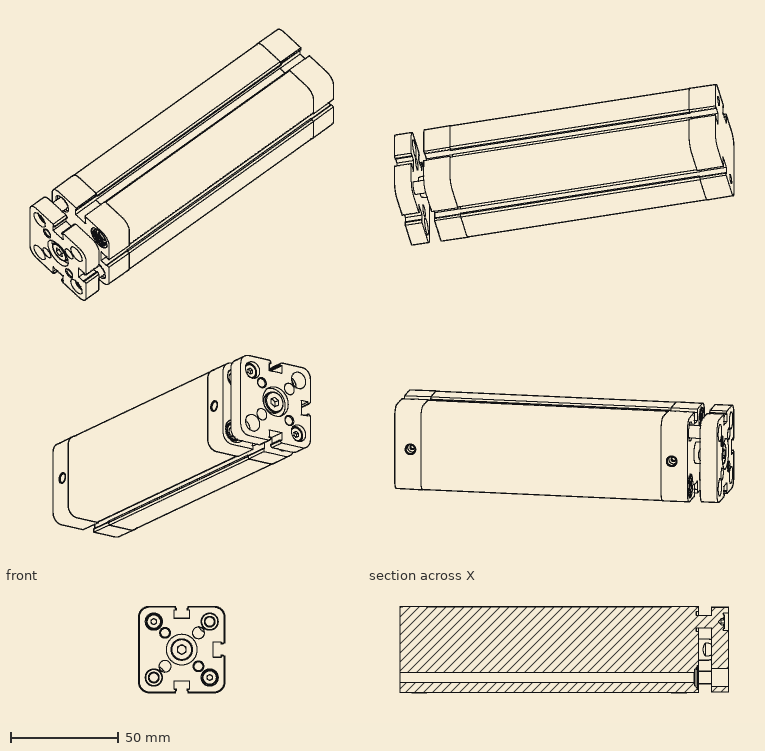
import cadquery as cq
import math

cap_width = 40.3
cap_end_width = 40.06
body_width = 40.0
plate_width = 39.5
flat_width = 30.0
total_length = 153.0
plate_thickness = 8.0
plate_gap = 6.0
cap_length = 12.5

plate_back_y = plate_thickness
front_cap_y = plate_back_y + plate_gap
front_body_y = front_cap_y + cap_length
rear_body_y = total_length - cap_length
cap_corner_radius = (cap_width - flat_width) / 2
cap_draft_angle = math.degrees(math.atan((cap_width - cap_end_width) / 2 / cap_length))
body_corner_radius = (body_width - flat_width) / 2
plate_corner_radius = (plate_width - flat_width) / 2

slot_angles = (0, 90, 180)
slot_depth = 5.5
cap_slot_depth = 5.7
slot_width = 7.0
slot_mouth_width = 5.0
slot_mouth_chamfer = 0.9
slot_lip_thickness = 1.8
cap_slot_width = 6.0
slot_floor_z = cap_width / 2 - slot_depth
cap_slot_floor_z = cap_width / 2 - cap_slot_depth
slot_lip_z = cap_width / 2 - slot_lip_thickness

corner_offset = 13.0
guide_rod_corners = ((-corner_offset, corner_offset), (corner_offset, -corner_offset))
through_corners = ((corner_offset, corner_offset), (-corner_offset, -corner_offset))
guide_rod_diameter = 6.0
plate_corner_hole_diameter = 8.0
guide_recess_depth = 2.5
guide_head_diameter = 7.0
guide_head_y = 2.0
guide_head_chamfer = 0.4
guide_socket = 2.5
guide_socket_depth = 1.5

tie_bore_steps = ((11.1, 0.6), (9.0, 1.2), (7.5, 1.8))
tie_countersink_diameter = 5.0
tie_hole_diameter = 4.3

bushing_recess_diameter = 9.0
bushing_recess_depth = 1.0

bolt_circle_radius = 11.0
thread_mouth_diameter = 5.0
thread_hole_diameter = 4.13
dowel_hole_diameter = 5.5
bolt_offset = bolt_circle_radius / math.sqrt(2)
threaded_holes = ((-bolt_offset, bolt_offset), (bolt_offset, -bolt_offset))
dowel_holes = ((bolt_offset, bolt_offset), (-bolt_offset, -bolt_offset))

rod_diameter = 10.0
rod_flats = 8.0
rod_flat_length = 2.9
rod_tip_length = 1.4
rod_tip_diameter = 9.4
center_recess_diameter = 14.3
center_recess_depth = 2.5
center_head_diameter = 10.0
center_head_y = 0.7
center_head_chamfer = 0.4
center_socket = 4.0
center_socket_depth = 2.5

port_offset = 7.5
port_diameter = 5.0
port_thread_diameter = 4.13
port_counterbore_depth = 0.5
port_thread_depth = 4.0
port_passage_diameter = 2.0
port_depth = 6.0


def facing_front(y, center=(0, 0)):
    """Sketch plane at the given Y, with X and Z as its axes; positive extrusion runs toward -Y."""
    return cq.Workplane(cq.Plane((center[0], y, center[1]), (1, 0, 0), (0, -1, 0)))


def block(width, corner_radius, y_start, y_end):
    """Square bar along Y with rounded long edges."""
    bar = cq.Workplane("XY").box(width, y_end - y_start, width)
    return bar.edges("|Y").fillet(corner_radius).translate((0, (y_start + y_end) / 2, 0))


def rod(diameter, y_start, y_end, center=(0, 0)):
    """Round bar along Y at the given (X, Z) center."""
    return facing_front(y_start, center).circle(diameter / 2).extrude(y_start - y_end)


def cone(start_diameter, end_diameter, y_start, y_end, center=(0, 0)):
    """Cone frustum along Y at the given (X, Z) center."""
    length = y_end - y_start
    axis_point = cq.Vector(center[0], y_start, center[1])
    axis = cq.Vector(0, 1, 0)
    return cq.Workplane(cq.Solid.makeCone(start_diameter / 2, end_diameter / 2, length, axis_point, axis))


def hex_socket(across_flats, depth, y_start, center=(0, 0)):
    """Hexagonal socket with corners along Z and a conical drill point at its bottom."""
    plane = facing_front(y_start, center).transformed(rotate=(0, 0, 90))
    socket = plane.polygon(6, across_flats / math.cos(math.pi / 6)).extrude(-depth)
    bottom_y = y_start + depth
    return socket.union(cone(across_flats, 0, bottom_y, bottom_y + across_flats / 2, center))


def on_slotted_sides(cutter):
    """Copies a cutter made for the +Z side to every slotted side."""
    cutters = cutter
    for angle in slot_angles[1:]:
        cutters = cutters.union(cutter.rotate((0, 0, 0), (0, 1, 0), angle))
    return cutters


def t_slots(floor_z, mouth_width, y_start, y_end):
    """Plain T-slot cutters for the three slotted sides."""
    right_side = [
        (slot_width / 2, floor_z),
        (slot_width / 2, slot_lip_z),
        (mouth_width / 2, slot_lip_z),
        (mouth_width / 2, cap_width),
    ]
    left_side = [(-x, z) for x, z in reversed(right_side)]
    cutter = facing_front(y_start).polyline(right_side + left_side).close().extrude(y_start - y_end)
    return on_slotted_sides(cutter)


def slot_mouth_chamfers(width, y_start, y_end):
    """V-shaped cutters that bevel the slot mouths of a bar of the given width."""
    top_z = width / 2
    half_opening = slot_mouth_width / 2 + slot_mouth_chamfer
    profile = [(-half_opening, top_z), (half_opening, top_z), (0, top_z - half_opening)]
    cutter = facing_front(y_start).polyline(profile).close().extrude(y_start - y_end)
    return on_slotted_sides(cutter)


def cut_beveled_slots(solid, width, y_start, y_end):
    solid = solid.cut(t_slots(slot_floor_z, slot_mouth_width, y_start, y_end))
    return solid.cut(slot_mouth_chamfers(width, y_start, y_end))


def barrel():
    """Extruded body between the end caps."""
    solid = block(body_width, body_corner_radius, front_body_y, rear_body_y)
    return cut_beveled_slots(solid, body_width, front_body_y, rear_body_y)


def port(y):
    """Stepped air port in the -X side."""
    plane = cq.Workplane(cq.Plane((-cap_width / 2, y, 0), (0, 1, 0), (1, 0, 0)))
    counterbore = plane.circle(port_diameter / 2).extrude(port_counterbore_depth)
    thread = plane.circle(port_thread_diameter / 2).extrude(port_thread_depth)
    passage = plane.circle(port_passage_diameter / 2).extrude(port_depth)
    return counterbore.union(thread).union(passage)


def end_cap(joint_y, end_y, port_y):
    """Cap that tapers slightly from the barrel joint to its free end."""
    outward = 1 if joint_y > end_y else -1
    joint_outline = cq.Sketch().rect(cap_width, cap_width).vertices().fillet(cap_corner_radius)
    solid = facing_front(joint_y).placeSketch(joint_outline).extrude(
        outward * cap_length, taper=cap_draft_angle
    )
    y_start, y_end = sorted((joint_y, end_y))
    solid = solid.cut(t_slots(cap_slot_floor_z, cap_slot_width, y_start, y_end))
    return solid.cut(port(port_y))


def add_corner_features(solid):
    """Tie-screw bores through the cylinder and guide bushing recesses, with the guide rods added."""
    for center in through_corners:
        for diameter, depth in tie_bore_steps:
            solid = solid.cut(rod(diameter, front_cap_y, front_cap_y + depth, center))
        floor_y = front_cap_y + tie_bore_steps[-1][1]
        countersink_y = floor_y + (tie_countersink_diameter - tie_hole_diameter) / 2
        solid = solid.cut(cone(tie_countersink_diameter, tie_hole_diameter, floor_y, countersink_y, center))
        solid = solid.cut(rod(tie_hole_diameter, front_cap_y, total_length, center))
    for center in guide_rod_corners:
        recess_end_y = front_cap_y + bushing_recess_depth
        solid = solid.cut(rod(bushing_recess_diameter, front_cap_y, recess_end_y, center))
        solid = solid.union(rod(guide_rod_diameter, plate_back_y, recess_end_y, center))
    return solid


def piston_rod():
    """Rod end with two wrench flats that run out at 45 degrees and a tapered tip at the plate."""
    tip_y = plate_back_y + rod_tip_length
    solid = rod(rod_diameter, tip_y, front_cap_y)
    solid = solid.union(cone(rod_tip_diameter, rod_diameter, plate_back_y, tip_y))
    flat_x = rod_flats / 2
    flat_end_y = plate_back_y + rod_flat_length
    profile = [
        (flat_x, plate_back_y),
        (flat_x, flat_end_y),
        (flat_x + rod_diameter, flat_end_y + rod_diameter),
        (flat_x + rod_diameter, plate_back_y),
    ]
    flat_cut = cq.Workplane("XY").polyline(profile).close().extrude(rod_diameter, both=True)
    return solid.cut(flat_cut).cut(flat_cut.mirror("YZ"))


def yoke_plate():
    """Slotted front plate with its mounting holes and recessed screws."""
    solid = block(plate_width, plate_corner_radius, 0, plate_back_y)
    solid = cut_beveled_slots(solid, plate_width, 0, plate_back_y)
    for center in through_corners:
        solid = solid.cut(rod(plate_corner_hole_diameter, 0, plate_back_y, center))
    for center in dowel_holes:
        solid = solid.cut(rod(dowel_hole_diameter, 0, plate_back_y, center))
    for center in threaded_holes:
        chamfer_depth = (thread_mouth_diameter - thread_hole_diameter) / 2
        solid = solid.cut(rod(thread_hole_diameter, 0, plate_back_y, center))
        solid = solid.cut(cone(thread_mouth_diameter, thread_hole_diameter, 0, chamfer_depth, center))
    for center in guide_rod_corners:
        solid = solid.cut(rod(plate_corner_hole_diameter, 0, guide_recess_depth, center))
        head = rod(guide_head_diameter, guide_head_y, plate_back_y, center)
        solid = solid.union(head.faces("<Y").chamfer(guide_head_chamfer))
        solid = solid.cut(hex_socket(guide_socket, guide_socket_depth, guide_head_y, center))
    solid = solid.cut(rod(center_recess_diameter, 0, center_recess_depth))
    head = rod(center_head_diameter, center_head_y, plate_back_y)
    solid = solid.union(head.faces("<Y").chamfer(center_head_chamfer))
    return solid.cut(hex_socket(center_socket, center_socket_depth, center_head_y))


result = barrel()
result = result.union(end_cap(front_body_y, front_cap_y, front_cap_y + port_offset))
result = result.union(end_cap(rear_body_y, total_length, total_length - port_offset))
result = add_corner_features(result)
result = result.union(piston_rod()).union(yoke_plate())